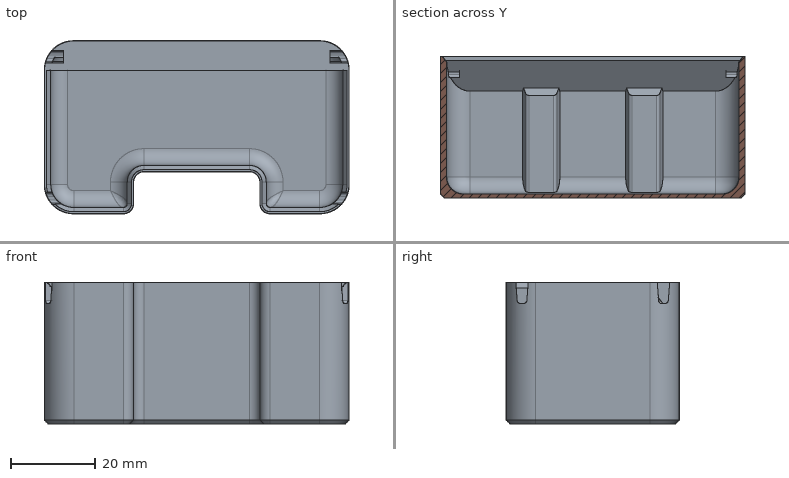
import cadquery as cq
import math

LENGTH = 72.5
WIDTH = 41.2
HEIGHT = 33.7
CORNER_RADIUS = 7.0
BOTTOM_CHAMFER = 1.0

RECESS_WIDTH = 30.0
RECESS_DEPTH = 10.0
RECESS_RADIUS = 2.5

WALL = 1.5
FLOOR = 1.0
FLOOR_FILLET = 4.0
RIM_WALL = 0.5
RIM_BEVEL_HEIGHT = 1.3

LEDGE_WIDTH = CORNER_RADIUS
LEDGE_LIP = 1.0
LEDGE_DROP = 8.3

RIB_SPACING = 24.5
RIB_BASE_WIDTH = 8.85
RIB_FRONT_WIDTH = 7.0
RIB_DEPTH = 2.3
RIB_EDGE_RADIUS = 0.9
RIB_FRONT_DROP = 9.3

SLOT_TOP_WIDTH = 3.0
SLOT_BOTTOM_WIDTH = 2.2
SLOT_HEIGHT = 5.0
SLOT_LENGTH = 4.6
SLOT_RADIUS = 0.7
SLOT_INSET = 3.8

BACK_Y = WIDTH / 2
INNER_BACK_Y = BACK_Y - WALL


def add_arc(outline, centre, radius, start, sweep):
    """Run the outline straight to an arc given by angles in degrees, then along it."""
    def point_at(angle):
        turn = math.radians(angle)
        return (centre[0] + radius * math.cos(turn), centre[1] + radius * math.sin(turn))

    outline = outline.lineTo(*point_at(start))
    return outline.threePointArc(point_at(start + sweep / 2), point_at(start + sweep))


def footprint(inset, z):
    """Outline of the recessed box at height z, moved inwards by inset."""
    corner_x = LENGTH / 2 - CORNER_RADIUS
    corner_y = WIDTH / 2 - CORNER_RADIUS
    mouth_x = RECESS_WIDTH / 2 + RECESS_RADIUS
    mouth_y = -WIDTH / 2 + RECESS_RADIUS
    deep_x = RECESS_WIDTH / 2 - RECESS_RADIUS
    deep_y = -WIDTH / 2 + RECESS_DEPTH - RECESS_RADIUS
    corner = CORNER_RADIUS - inset
    mouth = RECESS_RADIUS - inset
    deep = RECESS_RADIUS + inset

    outline = cq.Workplane("XY", origin=(0, 0, z)).moveTo(0, BACK_Y - inset)
    outline = add_arc(outline, (-corner_x, corner_y), corner, 90, 90)
    outline = add_arc(outline, (-corner_x, -corner_y), corner, 180, 90)
    outline = add_arc(outline, (-mouth_x, mouth_y), mouth, 270, 90)
    outline = add_arc(outline, (-deep_x, deep_y), deep, 180, -90)
    outline = add_arc(outline, (deep_x, deep_y), deep, 90, -90)
    outline = add_arc(outline, (mouth_x, mouth_y), mouth, 180, 90)
    outline = add_arc(outline, (corner_x, -corner_y), corner, 270, 90)
    outline = add_arc(outline, (corner_x, corner_y), corner, 0, 90)
    return outline.close()


def make_cavity():
    """Hollow with a rounded floor edge, flared outwards at the rim."""
    hollow = footprint(WALL, FLOOR).extrude(HEIGHT - FLOOR)
    hollow = hollow.faces("<Z").edges().fillet(FLOOR_FILLET)
    bevel_angle = math.degrees(math.atan2(WALL - RIM_WALL, RIM_BEVEL_HEIGHT))
    flare = footprint(RIM_WALL, HEIGHT).extrude(-RIM_BEVEL_HEIGHT, taper=bevel_angle)
    return hollow.union(flare)


def make_ledge(block):
    """Shelf along the back wall, trimmed to the outside of the block."""
    tip_y = BACK_Y - LEDGE_WIDTH
    section = [
        (BACK_Y, HEIGHT),
        (tip_y, HEIGHT),
        (tip_y, HEIGHT - LEDGE_LIP),
        (INNER_BACK_Y, HEIGHT - LEDGE_DROP),
        (BACK_Y, HEIGHT - LEDGE_DROP),
    ]
    shelf = cq.Workplane("YZ").polyline(section).close().extrude(LENGTH / 2, both=True)
    return shelf.intersect(block)


def make_rib(centre_x):
    """Trapezoid rib with rounded front edges and a top sloping at 45 degrees."""
    front_y = INNER_BACK_Y - RIB_DEPTH
    root_y = INNER_BACK_Y + WALL / 2
    base_z = FLOOR / 2
    front_top = HEIGHT - RIB_FRONT_DROP
    section = [
        (-RIB_BASE_WIDTH / 2, root_y),
        (-RIB_BASE_WIDTH / 2, INNER_BACK_Y),
        (-RIB_FRONT_WIDTH / 2, front_y),
        (RIB_FRONT_WIDTH / 2, front_y),
        (RIB_BASE_WIDTH / 2, INNER_BACK_Y),
        (RIB_BASE_WIDTH / 2, root_y),
    ]
    rib = cq.Workplane("XY", origin=(0, 0, base_z)).polyline(section).close().extrude(HEIGHT - base_z)
    rib = rib.faces("<Y").edges("|Z").fillet(RIB_EDGE_RADIUS)

    side = [
        (front_y, base_z),
        (root_y, base_z),
        (root_y, front_top + root_y - front_y),
        (front_y, front_top),
    ]
    envelope = cq.Workplane("YZ").polyline(side).close().extrude(RIB_BASE_WIDTH / 2, both=True)
    return rib.intersect(envelope).translate((centre_x, 0, 0))


def make_slot(start_x, centre_y):
    """Cutter for one slot, open at the rim and running along X from start_x."""
    section = [
        (-SLOT_TOP_WIDTH / 2, HEIGHT),
        (SLOT_TOP_WIDTH / 2, HEIGHT),
        (SLOT_BOTTOM_WIDTH / 2, HEIGHT - SLOT_HEIGHT),
        (-SLOT_BOTTOM_WIDTH / 2, HEIGHT - SLOT_HEIGHT),
    ]
    slot = cq.Workplane("YZ").polyline(section).close().extrude(SLOT_LENGTH)
    slot = slot.faces("<Z").edges("|X").fillet(SLOT_RADIUS)
    return slot.translate((start_x, centre_y, 0))


block = footprint(0, 0).extrude(HEIGHT)
result = block.faces("<Z").chamfer(BOTTOM_CHAMFER)
result = result.cut(make_cavity())
result = result.union(make_ledge(block))

for rib_x in (-RIB_SPACING / 2, RIB_SPACING / 2):
    result = result.union(make_rib(rib_x))

for slot_x in (-LENGTH / 2, LENGTH / 2 - SLOT_LENGTH):
    for slot_y in (-BACK_Y + SLOT_INSET, BACK_Y - SLOT_INSET):
        result = result.cut(make_slot(slot_x, slot_y))